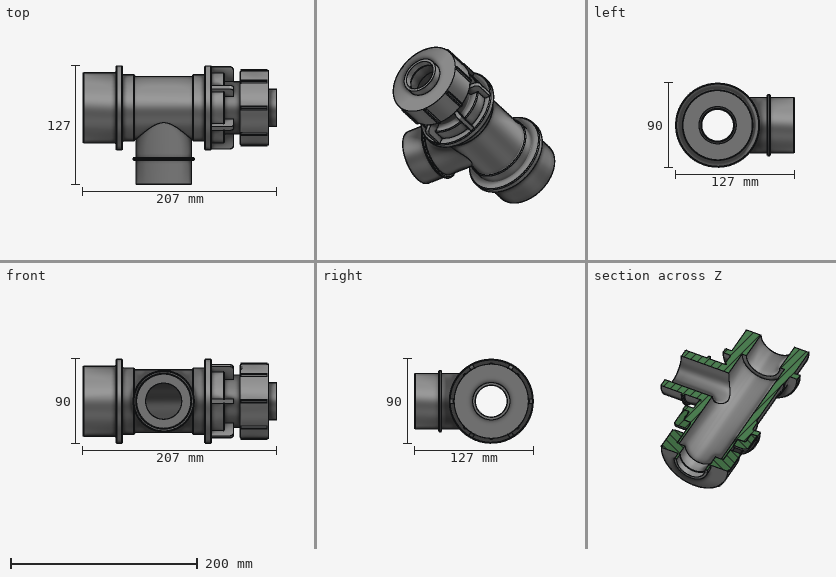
import cadquery as cq
import math

TOTAL_LENGTH = 207.0

SPIGOT_DIA = 75.3
SPIGOT_BORE_DIA = 40.0
SPIGOT_LENGTH = 35.0
SPIGOT_CHAMFER = 0.6
SPIGOT_FILLET = 1.0
FLANGE_DIA = 90.0
FLANGE_WIDTH = 7.2
FLANGE_CHAMFER = 1.0
COLLAR_DIA = 71.2
COLLAR_LENGTH = 12.8
COLLAR_CHAMFER = 1.0
COLLAR_FILLET = 0.6

TUBE_DIA = 67.5
TUBE_LENGTH = 62.0
MAIN_BORE_DIA = 50.3
BRANCH_DIA = 59.6
BRANCH_BORE_DIA = 38.7
BRANCH_DEPTH = 127.0
BRANCH_CHAMFER = 0.8

BEAD_DIA = 65.6
BEAD_WIDTH = 3.3
BEAD_REACH = 54.6
BEAD_CHAMFER = 1.0

SLEEVE_DIA = 75.0
SLEEVE_LENGTH = 13.7
SLEEVE_CHAMFER = 1.0
NECK_DIA = 56.3
NECK_FILLET = 1.2
NECK_IN_NUT = 16.5

FIN_COUNT = 6
FIN_LENGTH = 23.8
FIN_TIP_RADIUS = 44.0
FIN_THICKNESS = 4.5
FIN_CORNER_RADIUS = 4.5

NUT_START = 167.9
NUT_LENGTH = 30.5
NUT_DIA = 79.5
NUT_BORE_DIA = 36.0
NUT_FILLET = 2.0
TAIL_DIA = 40.0
TAIL_BORE_DIA = 34.0

RIB_COUNT = 8
RIB_HEIGHT = 1.2
RIB_BASE_WIDTH = 4.1
RIB_TOP_WIDTH = 1.7
RIB_START_GAP = 0.8
RIB_END_GAP = 1.9
RIB_ROOT_DEPTH = 1.0

left_flange_end = SPIGOT_LENGTH + FLANGE_WIDTH
tube_start = left_flange_end + COLLAR_LENGTH
tube_end = tube_start + TUBE_LENGTH
branch_x = (tube_start + tube_end) / 2
right_flange_start = tube_end + COLLAR_LENGTH
right_flange_end = right_flange_start + FLANGE_WIDTH
sleeve_end = right_flange_end + SLEEVE_LENGTH
nut_end = NUT_START + NUT_LENGTH
neck_end = NUT_START + NECK_IN_NUT

branch_reach = BRANCH_DEPTH - FLANGE_DIA / 2


def rod(start, end, diameter):
    """Solid cylinder on the X axis between two stations."""
    return cq.Workplane("YZ", origin=(start, 0, 0)).circle(diameter / 2).extrude(end - start)


def branch_rod(start, end, diameter):
    """Solid cylinder on the branch axis, between two distances from the run axis."""
    return cq.Workplane("XZ", origin=(branch_x, -start, 0)).circle(diameter / 2).extrude(end - start)


def cove(station, direction, diameter, radius):
    """Ring that fills the corner between a shaft and a shoulder; direction points along the shaft."""
    shaft_radius = diameter / 2
    arc_offset = radius * (1 - math.sqrt(0.5))
    return (
        cq.Workplane("XY")
        .moveTo(station, shaft_radius)
        .lineTo(station, shaft_radius + radius)
        .threePointArc(
            (station + direction * arc_offset, shaft_radius + arc_offset),
            (station + direction * radius, shaft_radius),
        )
        .close()
        .revolve(360, (0, 0, 0), (1, 0, 0))
    )


def around_run(shape, count):
    """Copies of a shape at equal angles around the run."""
    return [shape.rotate((0, 0, 0), (1, 0, 0), index * 360 / count) for index in range(count)]


def make_flange(start):
    return rod(start, start + FLANGE_WIDTH, FLANGE_DIA).edges().chamfer(FLANGE_CHAMFER)


def make_spigot():
    spigot = rod(0, SPIGOT_LENGTH, SPIGOT_DIA).faces("<X").chamfer(SPIGOT_CHAMFER)
    return spigot.union(cove(SPIGOT_LENGTH, -1, SPIGOT_DIA, SPIGOT_FILLET))


def make_left_collar():
    collar = rod(left_flange_end, tube_start, COLLAR_DIA).faces(">X").chamfer(COLLAR_CHAMFER)
    collar = collar.union(cove(left_flange_end, 1, COLLAR_DIA, COLLAR_FILLET))
    return collar.union(cove(tube_start, 1, TUBE_DIA, COLLAR_FILLET))


def make_sleeve_and_neck():
    sleeve = rod(right_flange_end, sleeve_end, SLEEVE_DIA).faces(">X").chamfer(SLEEVE_CHAMFER)
    neck = rod(sleeve_end, neck_end, NECK_DIA)
    return sleeve.union(neck).union(cove(sleeve_end, 1, NECK_DIA, NECK_FILLET))


def make_branch():
    branch = branch_rod(0, branch_reach, BRANCH_DIA).faces("<Y").chamfer(BRANCH_CHAMFER)
    bead = branch_rod(BEAD_REACH - BEAD_WIDTH / 2, BEAD_REACH + BEAD_WIDTH / 2, BEAD_DIA)
    return branch.union(bead.edges().chamfer(BEAD_CHAMFER))


def make_tee():
    left_collar = make_left_collar()
    right_collar = left_collar.mirror("YZ", (branch_x, 0, 0))
    tee = rod(tube_start, tube_end, TUBE_DIA)
    for part in (
        left_collar,
        right_collar,
        make_flange(SPIGOT_LENGTH),
        make_flange(right_flange_start),
        make_spigot(),
        make_sleeve_and_neck(),
        make_branch(),
    ):
        tee = tee.union(part)
    spigot_bore = rod(0, SPIGOT_LENGTH, SPIGOT_BORE_DIA)
    main_bore = rod(SPIGOT_LENGTH, neck_end, MAIN_BORE_DIA)
    branch_bore = branch_rod(0, branch_reach, BRANCH_BORE_DIA)
    return tee.cut(spigot_bore).cut(main_bore).cut(branch_bore)


def make_fins(tee):
    blade = (
        cq.Workplane("XY", origin=(right_flange_end, 0, 0))
        .rect(FIN_LENGTH, FIN_TIP_RADIUS, centered=False)
        .extrude(FIN_THICKNESS / 2, both=True)
        .edges(">X and >Y")
        .fillet(FIN_CORNER_RADIUS)
        .cut(rod(right_flange_end, neck_end, NECK_DIA))
        .cut(tee)
    )
    return around_run(blade, FIN_COUNT)


def make_rib():
    nut_radius = NUT_DIA / 2
    root_radius = nut_radius - RIB_ROOT_DEPTH
    tip_radius = nut_radius + RIB_HEIGHT
    half_base = RIB_BASE_WIDTH / 2
    half_top = RIB_TOP_WIDTH / 2
    return (
        cq.Workplane("YZ", origin=(NUT_START + RIB_START_GAP, 0, 0))
        .moveTo(-half_base, root_radius)
        .lineTo(-half_base, nut_radius)
        .lineTo(-half_top, tip_radius)
        .lineTo(half_top, tip_radius)
        .lineTo(half_base, nut_radius)
        .lineTo(half_base, root_radius)
        .close()
        .extrude(NUT_LENGTH - RIB_START_GAP - RIB_END_GAP)
    )


def make_nut():
    nut = rod(NUT_START, nut_end, NUT_DIA).faces("<X").edges().fillet(NUT_FILLET)
    for rib in around_run(make_rib(), RIB_COUNT):
        nut = nut.union(rib)
    tail = rod(nut_end, TOTAL_LENGTH, TAIL_DIA)
    neck_socket = rod(NUT_START, neck_end, NECK_DIA)
    nut_bore = rod(neck_end, nut_end, NUT_BORE_DIA)
    tail_bore = rod(nut_end, TOTAL_LENGTH, TAIL_BORE_DIA)
    return nut.union(tail).cut(neck_socket).cut(nut_bore).cut(tail_bore)


tee = make_tee()
fins = make_fins(tee)
nut = make_nut()
result = cq.Compound.makeCompound([tee.val(), *[fin.val() for fin in fins], nut.val()])